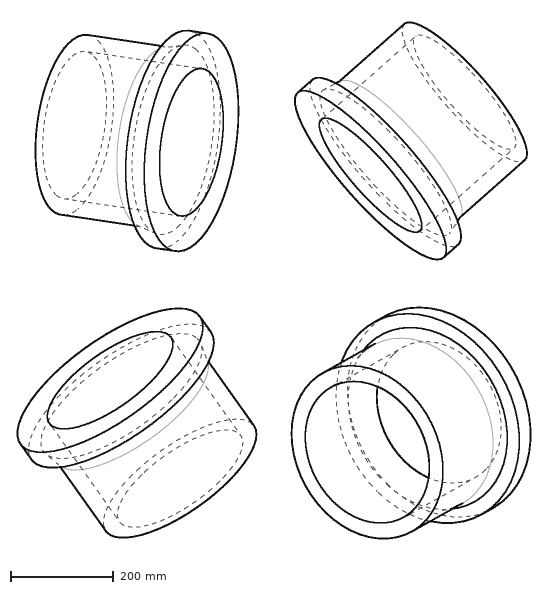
import cadquery as cq

total_length = 253.0
flange_thickness = 40.0
neck_length = 37.5

bore_diameter = 290.5
pipe_diameter = 355.0
neck_end_diameter = 373.2
flange_diameter = 430.0

bore_radius = bore_diameter / 2
pipe_radius = pipe_diameter / 2
neck_end_radius = neck_end_diameter / 2
flange_radius = flange_diameter / 2

flange_start = total_length - flange_thickness
neck_start = flange_start - neck_length

half_section = [
    (0, bore_radius),
    (0, pipe_radius),
    (neck_start, pipe_radius),
    (flange_start, neck_end_radius),
    (flange_start, flange_radius),
    (total_length, flange_radius),
    (total_length, bore_radius),
]

result = (
    cq.Workplane("XY")
    .polyline(half_section)
    .close()
    .revolve(360, (0, 0, 0), (1, 0, 0))
)